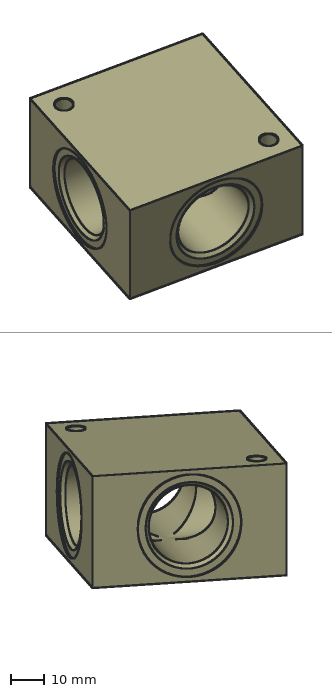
import cadquery as cq

side = 60.0
height = 35.0

bore_diameter = 24.5
port_chamfer = 1.25
spotface_diameter = 32.0
spotface_depth = 0.5

mount_diameter = 5.5
mount_chamfer = 0.2
mount_offset = 22.5


def port_cutter(plane):
    """Bore along the plane's local Y axis, with a spotface and chamfer at both ends."""
    half_length = side / 2
    seat = half_length - spotface_depth
    bore_radius = bore_diameter / 2
    spotface_radius = spotface_diameter / 2
    chamfer_radius = bore_radius + port_chamfer
    chamfer_end = seat - port_chamfer
    profile = [
        (0, -half_length),
        (spotface_radius, -half_length),
        (spotface_radius, -seat),
        (chamfer_radius, -seat),
        (bore_radius, -chamfer_end),
        (bore_radius, chamfer_end),
        (chamfer_radius, seat),
        (spotface_radius, seat),
        (spotface_radius, half_length),
        (0, half_length),
    ]
    return cq.Workplane(plane).polyline(profile).close().revolve(360, (0, 0), (0, 1))


def mount_cutter(x, y):
    """Vertical through hole, chamfered at both ends."""
    half_height = height / 2
    hole_radius = mount_diameter / 2
    mouth_radius = hole_radius + mount_chamfer
    chamfer_end = half_height - mount_chamfer
    profile = [
        (0, -half_height),
        (mouth_radius, -half_height),
        (hole_radius, -chamfer_end),
        (hole_radius, chamfer_end),
        (mouth_radius, half_height),
        (0, half_height),
    ]
    hole = cq.Workplane("XZ").polyline(profile).close().revolve(360, (0, 0), (0, 1))
    return hole.translate((x, y, 0))


block = cq.Workplane("XY").box(side, side, height)
port_along_x = port_cutter("YX")
port_along_y = port_cutter("XY")
result = block.cut(port_along_x).cut(port_along_y)
for offset in (-mount_offset, mount_offset):
    result = result.cut(mount_cutter(offset, offset))